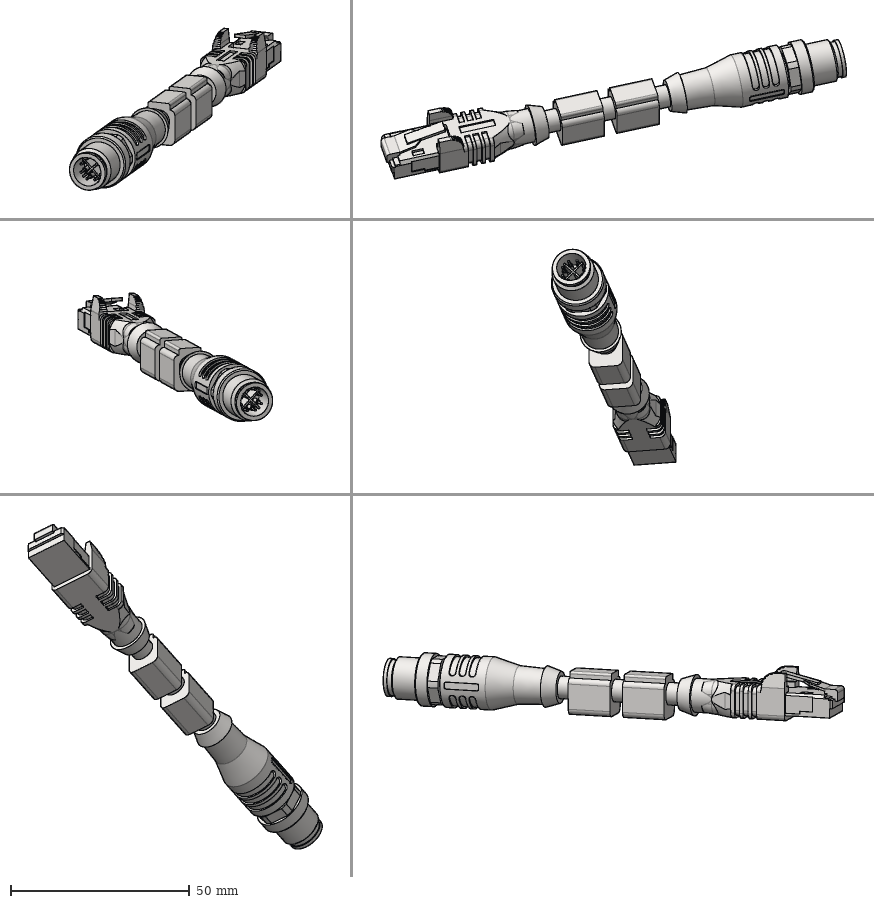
import cadquery as cq
import math

LENGTH = 133.2
HEIGHT = 16.3

CABLE_R = 3.2
CLIP_LENGTH = 12.3
CLIP_GAP = 3.7
CLIP_HALF_WIDTH = 4.8
CLIP_NECK_HALF_WIDTH = 3.3
CLIP_TOP = 5.3
CLIP_BOTTOM = -6.9
CLIP_NECK_BASE = 3.5
CLIP_SHOULDER_R = CLIP_HALF_WIDTH - CLIP_NECK_HALF_WIDTH
CLIP_TOP_R = 0.7
CLIP_BOTTOM_R = 1.7

TIP_R = 10.8 / 2
TIP_NECK_R = 5.0
TIP_LAND = 1.0
TIP_END = 2.9
SLEEVE_R = 6.0
SLEEVE_END = 9.9
RING_R = 15.0 / 2
RING_END = 13.6
RING_EDGE = 0.4
HEX_ACROSS_FLATS = 13.0
HEX_CORNER_R = 7.0
HEX_END = 16.6
NECK_R = 5.3
GRIP_START = 17.5
GRIP_END = 30.8
TAPER_END = 38.4
TAPER_END_R = 5.5
STEM_END = 46.5
STEM_END_R = 5.0
COLLAR_R = 5.9
COLLAR_SMALL_R = 4.5
COLLAR_LENGTH = 4.1
COLLAR_END = STEM_END + COLLAR_LENGTH

GRIP_GROOVE_COUNT = 3
GRIP_GROOVE_FIRST = 20.8
GRIP_GROOVE_PITCH = 2.9
GRIP_GROOVE_WIDTH = 2.0
GRIP_GROOVE_DEPTH = 0.5
GRIP_GROOVE_BOTTOM = 2.8
GRIP_SLOT_LENGTH = 10.1
GRIP_SLOT_WIDTH = 2.0
GRIP_SLOT_MIDDLE = 23.7
GRIP_SLOT_DEPTH = 0.4
GRIP_SLOT_CORNER_R = 0.5

BORE_R = 4.1
BORE_DEPTH = 8.0
SHIELD_THICKNESS = 0.5
SHIELD_HALF_SPAN = 3.7
SHIELD_FRONT = 3.3
PIN_R = 0.6 / 2
PIN_FRONT = 2.7
PIN_BASE_R = 0.6
PIN_BASE_FRONT = 5.3
PIN_NEAR = 1.2
PIN_FAR = 2.9

BOOT_COLLAR_START = COLLAR_END + 2 * CLIP_LENGTH + 3 * CLIP_GAP
BOOT_STEM_START = BOOT_COLLAR_START + COLLAR_LENGTH
BOOT_STEM_R = 4.8
BOOT_NOSE_START = 96.6
BOOT_TAPER_MIDDLE = 100.8
BOOT_TAPER_HALF_WIDTH = 5.9
BOOT_BLEND_START = 93.5
BOOT_BLEND_END = 98.6
BOOT_BLEND_SHRINK = 0.4
BOOT_BLEND_CORNER_R = 3.5
BOOT_START = 102.8
BOOT_END = 118.7
BOOT_HALF_WIDTH = 6.8
BOOT_HALF_HEIGHT = 4.8
BOOT_CORNER_R = 1.6
BOOT_GROOVES = ((104.0, 105.5), (106.4, 108.0), (109.0, 110.4))
BOOT_GROOVE_DEPTH = 0.7
BOOT_GROOVE_INNER = 2.5
BOOT_SLOT_WIDTH = 2.3
BOOT_SLOT_START = 101.0
BOOT_SLOT_END = 111.0
BOOT_SLOT_DEPTH = 0.5
LATCH_WELL_START = 114.3
LATCH_WELL_R = 0.7

TOP_Z = HEIGHT - RING_R
GUARD_START = 111.6
GUARD_FLAT_START = 115.4
GUARD_BASE = 3.2
GUARD_BASE_INNER = 4.1
GUARD_LEAN_BASE = 4.7
GUARD_WAIST_Z = 6.1
GUARD_WAIST_INNER = 4.4
GUARD_TOP_INNER = 4.7
GUARD_TOP_OUTER = 6.0
GUARD_RIDGES = 5
GUARD_RIDGE_DEPTH = 0.3

PLUG_HALF_WIDTH = 6.0
PLUG_TOP = 3.2
PLUG_BOTTOM = -3.2
PLUG_CHAMFER = 0.9
PLUG_LOWER_END = 131.7
PLUG_UPPER_END = 132.4
PLUG_STEP_Z = -0.5
PLUG_FRONT_CHAMFER = 0.5
SIDE_RECESS_DEPTH = 0.3
SIDE_RECESS_END = 126.7
SIDE_RECESS_MIDDLE = 123.0
SIDE_RECESS_UPPER_Z = -1.7
SIDE_RECESS_LOWER_Z = -2.5
LATCH_HALF_WIDTH = 3.0
NOSE_R = 0.9
NOSE_BACK = 129.3
NOSE_BOTTOM = 1.2
NOSE_TOP = 4.5
SPRING_NARROWING = 124.8
SPRING_TIP = 122.8
SPRING_TIP_TOP = 6.4
SPRING_THICKNESS = 0.7
LEVER_HALF_WIDTH = 1.6
LEVER_START = 126.8
LEVER_START_TOP = 5.9
LEVER_END = 115.8
LEVER_END_TOP = 8.3
LEVER_THICKNESS = 0.9
WINDOW_START = 122.5
WINDOW_END = 125.7
WINDOW_INNER = 2.5
WINDOW_OUTER = 4.3
WINDOW_DEPTH = 0.8
CORNER_STEP_STARTS = (130.0, 131.5)
CORNER_STEP_DEPTH = 0.7


def box(x0, x1, y0, y1, z0, z1):
    """Box given by its limits along X, Y and Z."""
    return cq.Workplane("XY").box(x1 - x0, y1 - y0, z1 - z0, centered=False).translate((x0, y0, z0))


def both_sides(shape):
    """The shape and its mirror image across the YZ plane."""
    return shape.union(shape.mirror("YZ"))


def turned(points):
    """Solid of revolution about the Y axis from (radius, y) points; the axis closes the outline."""
    first_y = points[0][1]
    last_y = points[-1][1]
    outline = [(0, first_y)] + points + [(0, last_y)]
    return cq.Workplane("XY").polyline(outline).close().revolve(360, (0, 0, 0), (0, 1, 0))


def along_y(section, y0, y1):
    """Extrude a function's closed XZ outline from y0 to y1."""
    return section(cq.Workplane("XZ", origin=(0, y1, 0))).extrude(y1 - y0)


def along_x(points, half_width):
    """Plate with a (y, z) outline, centred on X = 0."""
    return cq.Workplane("YZ").polyline(points).close().extrude(half_width, both=True)


def cylinder_y(radius, y0, y1, x=0.0, z=0.0):
    return along_y(lambda plane: plane.center(x, z).circle(radius), y0, y1)


def round_plug():
    plug = turned([
        (TIP_R, 0),
        (TIP_R, TIP_LAND),
        (TIP_NECK_R, TIP_LAND),
        (TIP_NECK_R, TIP_END - (SLEEVE_R - TIP_R)),
        (SLEEVE_R, TIP_END),
        (SLEEVE_R, SLEEVE_END),
        (RING_R - RING_EDGE, SLEEVE_END),
        (RING_R, SLEEVE_END + RING_EDGE),
        (RING_R, RING_END),
        (NECK_R, RING_END),
        (NECK_R, GRIP_START),
        (RING_R, GRIP_START),
        (RING_R, GRIP_END),
        (TAPER_END_R, TAPER_END),
        (STEM_END_R, STEM_END),
        (COLLAR_R, STEM_END),
        (COLLAR_SMALL_R, COLLAR_END),
    ])
    hex_corner_diameter = HEX_ACROSS_FLATS / math.cos(math.pi / 6)
    hexagon = along_y(lambda plane: plane.polygon(6, hex_corner_diameter), RING_END, HEX_END)
    return plug.union(hexagon.intersect(cylinder_y(HEX_CORNER_R, RING_END, HEX_END)))


def grip_grooves():
    """Part-ring grooves with rounded lower ends, above and below the grip's middle."""
    reach = 2 * RING_R
    slots = cq.Workplane("YZ")
    for index in range(GRIP_GROOVE_COUNT):
        y = GRIP_GROOVE_FIRST + index * GRIP_GROOVE_PITCH
        slots = slots.moveTo(y, GRIP_GROOVE_BOTTOM + reach / 2).slot2D(reach, GRIP_GROOVE_WIDTH, 90)
    slots = slots.extrude(reach, both=True)
    slots = slots.union(slots.mirror("XY"))
    core = cylinder_y(RING_R - GRIP_GROOVE_DEPTH, GRIP_START, GRIP_END)
    return slots.cut(core)


def grip_side_slots():
    slot = cq.Workplane("YZ", origin=(RING_R - GRIP_SLOT_DEPTH, GRIP_SLOT_MIDDLE, 0))
    slot = slot.rect(GRIP_SLOT_LENGTH, GRIP_SLOT_WIDTH).extrude(2 * GRIP_SLOT_DEPTH)
    return both_sides(slot.edges("|X").fillet(GRIP_SLOT_CORNER_R))


def round_plug_contacts():
    """Diagonal shield cross and eight stepped pins standing on the bore's floor."""
    wall = box(-SHIELD_HALF_SPAN, SHIELD_HALF_SPAN, SHIELD_FRONT, BORE_DEPTH,
               -SHIELD_THICKNESS / 2, SHIELD_THICKNESS / 2)
    contacts = wall.rotate((0, 0, 0), (0, 1, 0), 45).union(wall.rotate((0, 0, 0), (0, 1, 0), -45))
    for side in (-1, 1):
        for other in (-1, 1):
            for x, z in ((side * PIN_NEAR, other * PIN_FAR), (side * PIN_FAR, other * PIN_NEAR)):
                base = cylinder_y(PIN_BASE_R, PIN_BASE_FRONT, BORE_DEPTH, x, z)
                contacts = contacts.union(base).union(cylinder_y(PIN_R, PIN_FRONT, BORE_DEPTH, x, z))
    return contacts


def clip(y0):
    """Cable clip: rounded block with a narrower, rounded top."""
    y1 = y0 + CLIP_LENGTH
    body = along_y(
        lambda plane: plane.center(0, (CLIP_NECK_BASE + CLIP_BOTTOM) / 2)
        .rect(2 * CLIP_HALF_WIDTH, CLIP_NECK_BASE - CLIP_BOTTOM), y0, y1)
    body = body.edges("|Y and >Z").fillet(CLIP_SHOULDER_R)
    body = body.edges("|Y and <Z").fillet(CLIP_BOTTOM_R)
    neck = box(-CLIP_NECK_HALF_WIDTH, CLIP_NECK_HALF_WIDTH, y0, y1, 0, CLIP_TOP)
    return body.union(neck.edges("|Y and >Z").fillet(CLIP_TOP_R))


def boot_blend():
    """Tapering square with round corners that sinks diagonally into the boot's round stem."""
    side = 2 * BOOT_STEM_R
    square = cq.Sketch().rect(side, side).vertices().fillet(BOOT_BLEND_CORNER_R)
    taper_length = BOOT_NOSE_START - BOOT_BLEND_START
    taper_angle = math.degrees(math.atan(BOOT_BLEND_SHRINK / taper_length))
    start = cq.Workplane("XZ", origin=(0, BOOT_NOSE_START, 0)).placeSketch(square)
    taper = start.extrude(taper_length, taper=taper_angle)
    return taper.union(start.extrude(BOOT_NOSE_START - BOOT_BLEND_END))


def boot():
    outline = [
        (BOOT_HALF_WIDTH, BOOT_END),
        (BOOT_HALF_WIDTH, BOOT_START),
        (BOOT_TAPER_HALF_WIDTH, BOOT_TAPER_MIDDLE),
        (BOOT_STEM_R, BOOT_NOSE_START),
    ]
    plan = outline + [(-x, y) for x, y in reversed(outline)]
    block = cq.Workplane("XY").polyline(plan).close().extrude(BOOT_HALF_HEIGHT, both=True)
    block = block.edges("not(|X or |Z)").fillet(BOOT_CORNER_R)
    corner_reach = math.hypot(BOOT_HALF_WIDTH, BOOT_HALF_HEIGHT)
    cone_r = math.hypot(BOOT_HALF_WIDTH - BOOT_CORNER_R, BOOT_HALF_HEIGHT)
    block = block.intersect(turned([
        (BOOT_STEM_R, BOOT_NOSE_START),
        (cone_r, BOOT_START),
        (corner_reach, BOOT_START),
        (corner_reach, BOOT_END),
    ]))
    stem = turned([
        (COLLAR_SMALL_R, BOOT_COLLAR_START),
        (COLLAR_R, BOOT_STEM_START),
        (BOOT_STEM_R, BOOT_STEM_START),
        (BOOT_STEM_R, BOOT_START),
    ])
    return block.union(stem).union(boot_blend())


def boot_grooves():
    """Finger grooves around both sides of the boot, open towards the sides."""
    core = box(-BOOT_HALF_WIDTH + BOOT_GROOVE_DEPTH, BOOT_HALF_WIDTH - BOOT_GROOVE_DEPTH,
               BOOT_START, BOOT_END,
               -BOOT_HALF_HEIGHT + BOOT_GROOVE_DEPTH, BOOT_HALF_HEIGHT - BOOT_GROOVE_DEPTH)
    core = core.edges("|Y").fillet(BOOT_CORNER_R)
    grooves = cq.Workplane("XY")
    for y0, y1 in BOOT_GROOVES:
        grooves = grooves.union(
            box(BOOT_GROOVE_INNER, 2 * BOOT_HALF_WIDTH, y0, y1, -BOOT_HALF_WIDTH, BOOT_HALF_WIDTH))
    return both_sides(grooves.cut(core))


def latch_well():
    well = box(-LATCH_HALF_WIDTH, LATCH_HALF_WIDTH, LATCH_WELL_START, BOOT_END,
               PLUG_TOP, BOOT_HALF_HEIGHT)
    return well.edges("|Z and <Y").fillet(LATCH_WELL_R)


def latch_guards():
    """Leaning side walls with a curved, ridged edge facing the cable that stand on the boot."""
    section = [
        (BOOT_HALF_WIDTH, GUARD_BASE),
        (BOOT_HALF_WIDTH, GUARD_LEAN_BASE),
        (GUARD_TOP_OUTER, TOP_Z),
        (GUARD_TOP_INNER, TOP_Z),
        (GUARD_WAIST_INNER, GUARD_WAIST_Z),
        (GUARD_BASE_INNER, GUARD_BASE),
    ]
    wall = along_y(lambda plane: plane.polyline(section).close(), GUARD_START, BOOT_END)
    run = GUARD_FLAT_START - GUARD_START
    drop = TOP_Z - BOOT_HALF_HEIGHT

    def edge_point(angle, depth):
        """Point (y, z) below the quarter ellipse of the edge facing the cable."""
        y = GUARD_FLAT_START - (run - depth) * math.sin(angle)
        return y, BOOT_HALF_HEIGHT + (drop - depth) * math.cos(angle)

    ridge_angle = math.pi / 2 / GUARD_RIDGES
    edge = []
    for index in range(GUARD_RIDGES):
        edge.append(edge_point(index * ridge_angle, 0))
        edge.append(edge_point((index + 0.5) * ridge_angle, 0))
        edge.append(edge_point((index + 0.5) * ridge_angle, GUARD_RIDGE_DEPTH))
        edge.append(edge_point((index + 1) * ridge_angle, GUARD_RIDGE_DEPTH))
    side = along_x(
        [(BOOT_END, GUARD_BASE), (BOOT_END, TOP_Z)] + edge + [(GUARD_START, GUARD_BASE)],
        BOOT_HALF_WIDTH)
    return both_sides(wall.intersect(side))


def plug_body():
    profile = [
        (BOOT_END, PLUG_BOTTOM),
        (PLUG_LOWER_END, PLUG_BOTTOM),
        (PLUG_LOWER_END, PLUG_STEP_Z),
        (PLUG_UPPER_END, PLUG_STEP_Z),
        (PLUG_UPPER_END, PLUG_TOP),
        (BOOT_END, PLUG_TOP),
    ]
    body = along_x(profile, PLUG_HALF_WIDTH).edges("|Z and >Y").chamfer(PLUG_FRONT_CHAMFER)
    return body.edges("|Y and >Z").chamfer(PLUG_CHAMFER)


def shield_recesses():
    """Shallow stepped recess in each side of the plug."""
    outline = [
        (BOOT_END, PLUG_TOP),
        (SIDE_RECESS_END, PLUG_TOP),
        (SIDE_RECESS_END, SIDE_RECESS_UPPER_Z),
        (SIDE_RECESS_MIDDLE, SIDE_RECESS_UPPER_Z),
        (SIDE_RECESS_MIDDLE, SIDE_RECESS_LOWER_Z),
        (BOOT_END, SIDE_RECESS_LOWER_Z),
    ]
    plane = cq.Workplane("YZ", origin=(PLUG_HALF_WIDTH - SIDE_RECESS_DEPTH, 0, 0))
    return both_sides(plane.polyline(outline).close().extrude(PLUG_HALF_WIDTH))


def plug_top_cuts():
    """Latching windows and the lowered front corners of the plug's top."""
    cuts = box(WINDOW_INNER, WINDOW_OUTER, WINDOW_START, WINDOW_END, PLUG_TOP - WINDOW_DEPTH, PLUG_TOP)
    for count, start in enumerate(CORNER_STEP_STARTS, 1):
        cuts = cuts.union(box(LATCH_HALF_WIDTH, PLUG_HALF_WIDTH, start, PLUG_UPPER_END,
                              PLUG_TOP - count * CORNER_STEP_DEPTH, PLUG_TOP))
    return both_sides(cuts)


def latch():
    """Latch: a nose at the plug's end, a spring strip rising from it and a release lever."""
    nose = along_x([
        (NOSE_BACK, PLUG_TOP - CORNER_STEP_DEPTH),
        (PLUG_LOWER_END, NOSE_BOTTOM),
        (LENGTH, NOSE_BOTTOM),
        (LENGTH, NOSE_TOP),
        (NOSE_BACK, NOSE_TOP),
    ], LATCH_HALF_WIDTH)
    nose = nose.edges("|X and >Y and >Z").fillet(NOSE_R)

    strip = along_x([
        (NOSE_BACK, NOSE_TOP),
        (SPRING_TIP, SPRING_TIP_TOP),
        (SPRING_TIP, SPRING_TIP_TOP - SPRING_THICKNESS),
        (NOSE_BACK, NOSE_TOP - SPRING_THICKNESS),
    ], LATCH_HALF_WIDTH)
    half_plan = [
        (LATCH_HALF_WIDTH, LENGTH),
        (LATCH_HALF_WIDTH, SPRING_NARROWING),
        (LEVER_HALF_WIDTH, SPRING_TIP),
    ]
    plan = half_plan + [(-x, y) for x, y in reversed(half_plan)]
    strip = strip.intersect(cq.Workplane("XY").polyline(plan).close().extrude(TOP_Z))

    lever = along_x([
        (LEVER_START, LEVER_START_TOP),
        (LEVER_END, LEVER_END_TOP),
        (LEVER_END, LEVER_END_TOP - LEVER_THICKNESS),
        (LEVER_START, LEVER_START_TOP - LEVER_THICKNESS),
    ], LEVER_HALF_WIDTH)
    return nose.union(strip).union(lever)


front = round_plug().cut(grip_grooves()).cut(grip_side_slots())
front = front.cut(cylinder_y(BORE_R, 0, BORE_DEPTH)).union(round_plug_contacts())

cable = cylinder_y(CABLE_R, COLLAR_END - CLIP_GAP, BOOT_COLLAR_START + CLIP_GAP)
for position in range(2):
    cable = cable.union(clip(COLLAR_END + CLIP_GAP + position * (CLIP_LENGTH + CLIP_GAP)))

boot_slot = box(-BOOT_SLOT_WIDTH / 2, BOOT_SLOT_WIDTH / 2, BOOT_SLOT_START, BOOT_SLOT_END,
                BOOT_HALF_HEIGHT - BOOT_SLOT_DEPTH, BOOT_HALF_HEIGHT)
rear = boot().cut(boot_grooves()).cut(boot_slot).cut(latch_well()).union(latch_guards())
rear = rear.union(plug_body().cut(shield_recesses()).cut(plug_top_cuts())).union(latch())

result = front.union(cable).union(rear)